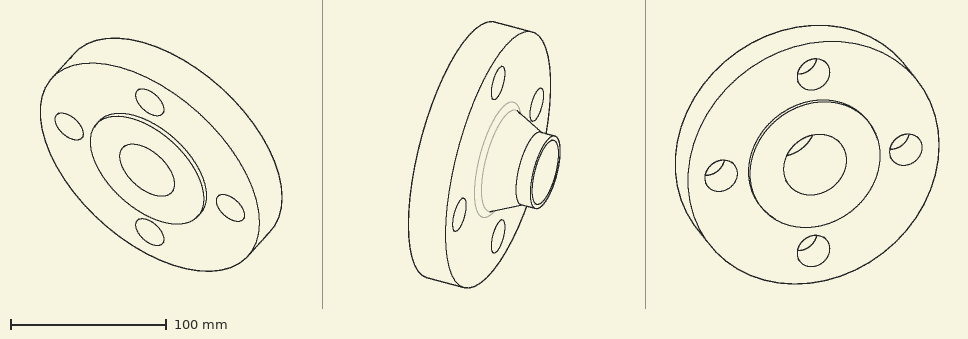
import cadquery as cq
import math

flange_diameter = 170.0
flange_thickness = 26.0
face_diameter = 88.0
face_height = 3.0
total_length = 62.0
bore_diameter = 42.5

neck_diameter = 48.3
neck_length = 10.0
hub_diameter = 70.0
hub_fillet = 5.1

bolt_count = 4
bolt_circle_diameter = 125.0
bolt_hole_diameter = 22.0

flange_back = face_height + flange_thickness
neck_start = total_length - neck_length


def cylinder_along_y(diameter, start, end):
    """Solid cylinder on the Y axis between two Y positions."""
    plane = cq.Workplane("XZ", origin=(0, start, 0))
    return plane.circle(diameter / 2).extrude(start - end)


def hub_and_flange():
    """Revolved flange disc, tapered hub and weld neck."""
    hub_radius = hub_diameter / 2
    neck_radius = neck_diameter / 2
    cone_height = neck_start - flange_back
    cone_angle = math.atan2(cone_height, hub_radius - neck_radius)
    tangent_length = hub_fillet * math.tan(cone_angle / 2)
    cone_tangent = (
        hub_radius - tangent_length * math.cos(cone_angle),
        flange_back + tangent_length * math.sin(cone_angle),
    )
    flange_tangent = (hub_radius + tangent_length, flange_back)
    middle_angle = cone_angle / 2
    arc_middle = (
        flange_tangent[0] - hub_fillet * math.sin(middle_angle),
        flange_back + hub_fillet * (1 - math.cos(middle_angle)),
    )
    profile = (
        cq.Workplane("XY")
        .moveTo(0, face_height)
        .lineTo(flange_diameter / 2, face_height)
        .lineTo(flange_diameter / 2, flange_back)
        .lineTo(*flange_tangent)
        .threePointArc(arc_middle, cone_tangent)
        .lineTo(neck_radius, neck_start)
        .lineTo(neck_radius, total_length)
        .lineTo(0, total_length)
        .close()
    )
    return profile.revolve(360, (0, 0, 0), (0, 1, 0))


def bolt_holes():
    """Through holes on the bolt circle, starting on the X axis."""
    hole = cylinder_along_y(bolt_hole_diameter, 0, flange_back)
    hole = hole.translate((bolt_circle_diameter / 2, 0, 0))
    holes = cq.Workplane("XY")
    for index in range(bolt_count):
        angle = index * 360 / bolt_count
        holes = holes.add(hole.rotate((0, 0, 0), (0, 1, 0), angle))
    return holes.combine()


raised_face = cylinder_along_y(face_diameter, 0, face_height)
bore = cylinder_along_y(bore_diameter, 0, total_length)
result = hub_and_flange().union(raised_face).cut(bore).cut(bolt_holes())